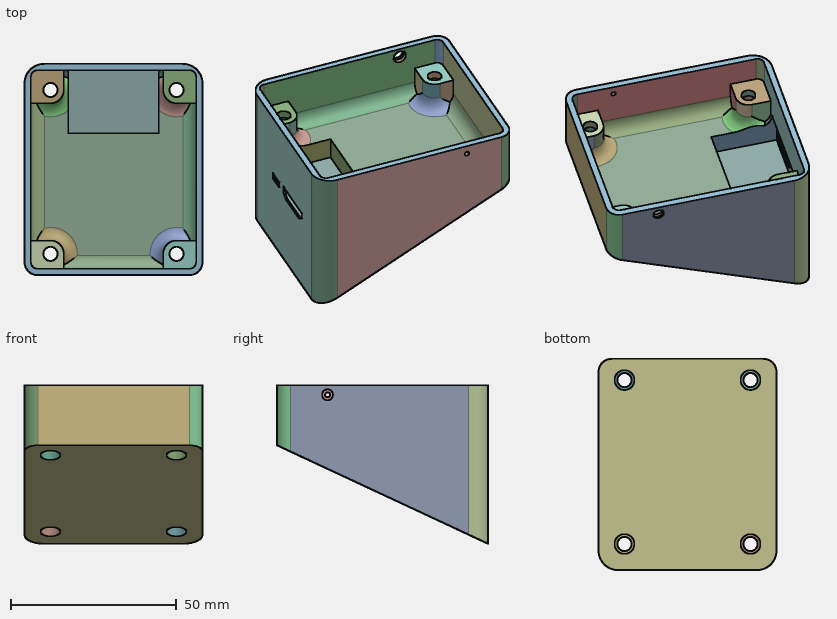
import cadquery as cq
import math

width = 53.75
length = 63.75
height = 47.9
slope_angle = 25.0
front_corner_radius = 4.0
rear_corner_radius = 6.0

wall = 2.0
floor_z = 29.9
cavity_corner_radius = 2.0
floor_fillet = 4.0

boss_top_z = 39.1
boss_radius = 4.0
screw_x = 19.0
screw_rear_y = 24.0
screw_front_y = -25.45
screw_diameter = 4.2
head_diameter = 6.0
head_seat_thickness = 2.5

recess_width = 27.3
recess_length = 19.0
recess_depth = 6.95
recess_undercut = 1.4

slot_width = 5.0
slot_height = 2.0
slot_lift = 1.85
slot_center_x = 6.4
port_width = 14.4
port_height = 3.5
port_lift = 0.95
port_taper_width = 2.0
port_taper_height = 1.5
port_center_x = -6.4

side_hole_y = -16.6
side_hole_drop = 2.95
left_hole_diameter = 1.4
right_hole_diameter = 3.3
right_seat_diameter = 4.0
right_seat_depth = 1.3

half_width = width / 2
half_length = length / 2
inner_half_width = half_width - wall
inner_rear_y = half_length - wall
recess_z = floor_z - recess_depth
slope_rise = math.tan(math.radians(slope_angle))
screw_points = [(x, y) for x in (-screw_x, screw_x) for y in (screw_front_y, screw_rear_y)]


def underside_z(y):
    """Height of the sloping underside at a given y."""
    return (half_length - y) * slope_rise


def make_body():
    """Rounded block cut off below by the sloping underside."""
    block = cq.Workplane("XY").box(width, length, height, centered=(True, True, False))
    block = block.edges("|Z and <Y").fillet(front_corner_radius)
    block = block.edges("|Z and >Y").fillet(rear_corner_radius)
    profile = [(half_length, 0), (-half_length, underside_z(-half_length)), (-half_length, 0)]
    wedge = cq.Workplane("YZ").polyline(profile).close().extrude(half_width, both=True)
    return block.cut(wedge)


def make_boss_block(x, y):
    """Boss column reaching into its corner, rounded towards the middle of the cavity."""
    side = math.copysign(1, x)
    end = math.copysign(1, y)
    inner_x = x - side * boss_radius
    inner_y = y - end * boss_radius
    size_x = half_width - abs(inner_x)
    size_y = half_length - abs(inner_y)
    block = (
        cq.Workplane("XY", origin=(inner_x + side * size_x / 2, inner_y + end * size_y / 2, 0))
        .rect(size_x, size_y)
        .extrude(boss_top_z)
    )
    inner_edge = cq.selectors.NearestToPointSelector((inner_x, inner_y, boss_top_z / 2))
    return block.edges(inner_edge).fillet(boss_radius)


def make_boss_flare(x, y):
    """Concave flare around a screw axis, blending the boss into the floor."""
    foot_radius = boss_radius + floor_fillet
    flare_top_z = floor_z + floor_fillet
    arc_offset = floor_fillet * math.sqrt(0.5)
    return (
        cq.Workplane("XZ")
        .moveTo(0, floor_z)
        .lineTo(foot_radius, floor_z)
        .threePointArc((foot_radius - arc_offset, flare_top_z - arc_offset), (boss_radius, flare_top_z))
        .lineTo(0, flare_top_z)
        .close()
        .revolve(360, (0, 0, 0), (0, 1, 0))
        .translate((x, y, 0))
    )


def make_cavity():
    """Hollow with a rounded floor edge, leaving the bosses standing."""
    block = (
        cq.Workplane("XY", origin=(0, 0, floor_z))
        .rect(2 * inner_half_width, 2 * inner_rear_y)
        .extrude(height - floor_z)
    )
    rounded_corners = block.edges("|Z").fillet(cavity_corner_radius)
    cavity = block.faces("<Z").edges().fillet(floor_fillet).intersect(rounded_corners)
    for x, y in screw_points:
        cavity = cavity.cut(make_boss_block(x, y))
        cavity = cavity.cut(make_boss_flare(x, y))
    return cavity


def make_recess():
    """Rectangular recess running a little way into the rear wall."""
    size_y = recess_length + recess_undercut
    rear_y = inner_rear_y + recess_undercut
    return (
        cq.Workplane("XY", origin=(0, rear_y - size_y / 2, recess_z))
        .rect(recess_width, size_y)
        .extrude(recess_depth + floor_fillet)
    )


def make_slot():
    """Rectangular opening through the rear wall."""
    center = (slot_center_x, half_length, recess_z + slot_lift + slot_height / 2)
    return cq.Workplane("XY").box(slot_width, 2 * wall, slot_height).translate(center)


def make_port():
    """Opening through the rear wall with its two lower corners tapered."""
    half_port = port_width / 2
    profile = [
        (-half_port, port_height),
        (half_port, port_height),
        (half_port, port_taper_height),
        (half_port - port_taper_width, 0),
        (port_taper_width - half_port, 0),
        (-half_port, port_taper_height),
    ]
    return (
        cq.Workplane("XZ", origin=(port_center_x, half_length, recess_z + port_lift))
        .polyline(profile)
        .close()
        .extrude(wall, both=True)
    )


def make_screw_hole(x, y):
    """Vertical clearance hole with a head bore from the sloping underside."""
    hole = cq.Workplane("XY").center(x, y).circle(screw_diameter / 2).extrude(height)
    head = cq.Workplane("XY").center(x, y).circle(head_diameter / 2).extrude(boss_top_z - head_seat_thickness)
    return hole.union(head)


def make_side_bore(start_x, diameter, depth):
    """Bore along +X through or into a side wall."""
    origin = (start_x, side_hole_y, height - side_hole_drop)
    return cq.Workplane("YZ", origin=origin).circle(diameter / 2).extrude(depth)


result = make_body().cut(make_cavity()).cut(make_recess())
result = result.cut(make_slot()).cut(make_port())
for screw_point in screw_points:
    result = result.cut(make_screw_hole(*screw_point))
result = result.cut(make_side_bore(-half_width, left_hole_diameter, wall))
result = result.cut(make_side_bore(inner_half_width, right_hole_diameter, wall))
result = result.cut(make_side_bore(inner_half_width, right_seat_diameter, right_seat_depth))